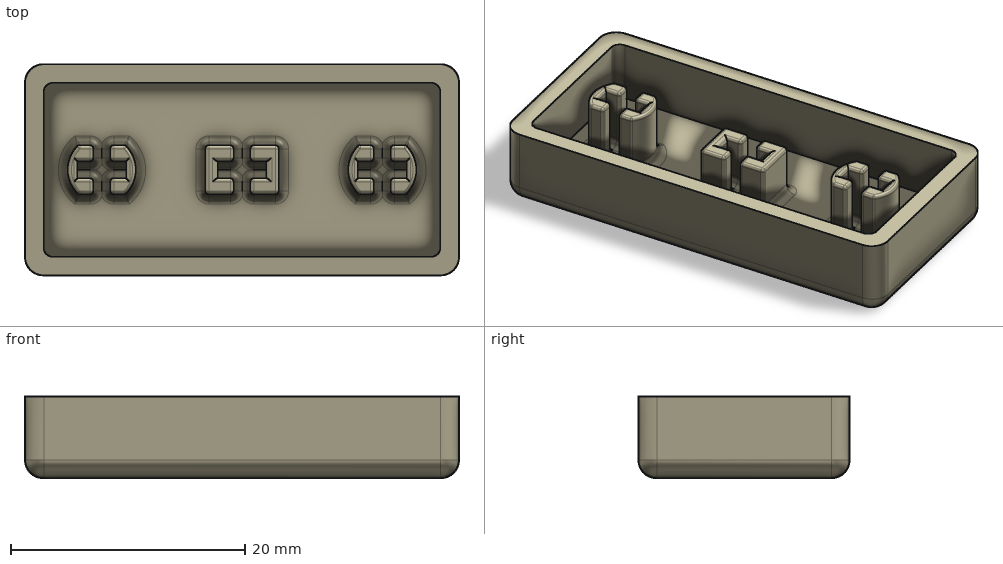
import cadquery as cq
import math

length = 37.1
width = 18.05
height = 7.0
wall = 1.6
outer_radius = 1.6
underside_radius = outer_radius * 0.999
pocket_radius = 0.8
floor_z = 1.6

stem_spacing = 12.0
block_height = 4.5
post_height = height - floor_z
stem_width = 4.2
block_length = 6.27
post_diameter = 5.82
cross_length = 4.15
slot_width = 1.45
edge_radius = 0.3
block_slot_end_radius = 0.45
root_radius = 0.8

overlap = 0.5
pad_margin = 1.5

half_stem = stem_width / 2
half_cross = cross_length / 2
half_slot = slot_width / 2
post_radius = post_diameter / 2
post_flat_x = math.sqrt(post_radius**2 - half_stem**2)


def corner_box(x_range, y_range, z_range):
    """Box given by its limits along each axis."""
    size = [high - low for low, high in (x_range, y_range, z_range)]
    origin = (x_range[0], y_range[0], z_range[0])
    return cq.Workplane("XY").box(*size, centered=False).translate(origin)


def nearest_edge(x, y, z):
    return cq.selectors.NearestToPointSelector((x, y, z))


def make_shell():
    shell = cq.Workplane("XY").box(length, width, height, centered=(True, True, False))
    shell = shell.edges("|Z").fillet(outer_radius)
    shell = shell.faces("<Z").edges().fillet(underside_radius)
    pocket = (
        cq.Workplane("XY")
        .workplane(offset=floor_z)
        .rect(length - 2 * wall, width - 2 * wall)
        .extrude(height - floor_z)
        .edges("|Z")
        .fillet(pocket_radius)
    )
    return shell.cut(pocket)


def make_stem(blank, reach, stem_height, is_block):
    """Split a solid blank, reaching `reach` along X, into a stem with flared roots."""
    stem_top = floor_z + stem_height
    z_range = (floor_z, stem_top)
    side_x = (half_slot + half_cross) / 2

    quarter = blank.intersect(corner_box((half_slot, reach), (-overlap, half_stem), z_range))
    quarter = quarter.cut(corner_box((0, half_cross), (-overlap, half_slot), z_range))
    corners = "|Z and (<X or >Y)" if is_block else "|Z and <X"
    quarter = quarter.edges(corners).fillet(edge_radius)

    pad_x = (-pad_margin, reach + pad_margin)
    pad_y = (-overlap, half_stem + pad_margin)
    quarter = quarter.union(corner_box(pad_x, pad_y, (0, floor_z)))
    roots = quarter.edges(nearest_edge(side_x, half_stem, floor_z))
    if not is_block:
        roots = roots.add(quarter.edges(nearest_edge(reach, half_slot, floor_z)))
    quarter = roots.fillet(root_radius)

    if is_block:
        slot_end = quarter.edges(nearest_edge(half_cross, 0, stem_top))
        quarter = slot_end.fillet(block_slot_end_radius)

    rim = quarter.edges(nearest_edge(side_x, half_stem, stem_top))
    if not is_block:
        rim = rim.add(quarter.edges(nearest_edge(half_cross, 0, stem_top)))
        rim = rim.add(quarter.edges(nearest_edge(reach, half_slot, stem_top)))
        rim = rim.add(quarter.edges("|Z").edges(nearest_edge(post_flat_x, half_stem, stem_top)))
    quarter = rim.fillet(edge_radius)

    trim = corner_box((0, pad_x[1]), (0, pad_y[1]), (floor_z / 2, stem_top))
    quarter = quarter.intersect(trim)
    half = quarter.union(quarter.mirror("XZ"))
    return half.union(half.mirror("YZ"))


def make_block():
    blank = cq.Workplane("XY").box(block_length, stem_width, height)
    blank = blank.translate((0, 0, floor_z + height / 2))
    return make_stem(blank, block_length / 2, block_height, True)


def make_post():
    blank = cq.Workplane("XY").workplane(offset=floor_z).circle(post_radius).extrude(height)
    return make_stem(blank, post_radius, post_height, False)


result = make_shell().union(make_block())
post = make_post()
for side in (-1, 1):
    result = result.union(post.translate((side * stem_spacing, 0, 0)))
result = result.clean()